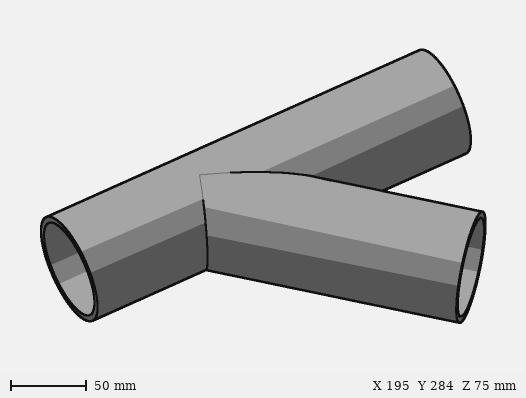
import cadquery as cq
import math

outer_diameter = 75.0
wall = 4.3
inner_diameter = outer_diameter - 2 * wall

run_length = 284.0

branch_angle = 45.0
branch_length = 185.2
crossing_from_end = 99.0

run_start = cq.Vector(0, -run_length / 2, 0)
run_direction = cq.Vector(0, 1, 0)
crossing = run_start + run_direction * crossing_from_end
lean = math.radians(branch_angle)
branch_direction = cq.Vector(math.sin(lean), math.cos(lean), 0)


def wye(diameter):
    """Solid run and branch cylinders of one diameter, joined."""
    radius = diameter / 2
    run = cq.Solid.makeCylinder(radius, run_length, run_start, run_direction)
    branch = cq.Solid.makeCylinder(radius, branch_length, crossing, branch_direction)
    return cq.Workplane(run).union(cq.Workplane(branch))


result = wye(outer_diameter).cut(wye(inner_diameter))